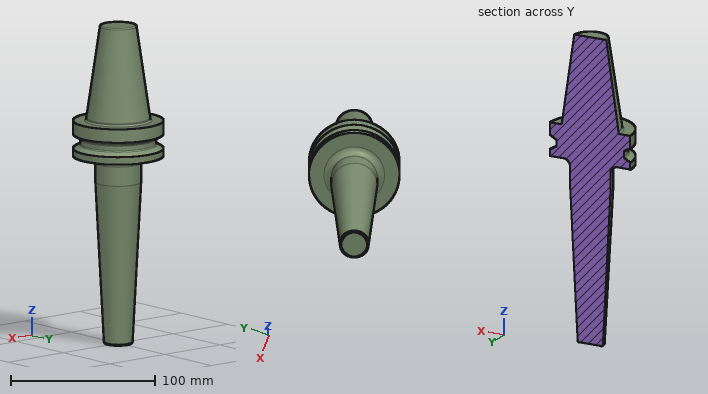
import cadquery as cq
import math


gauge_radius = 44.45 / 2
taper_height = 65.4
taper_slope = 7 / 24 / 2
taper_top_radius = gauge_radius - taper_height * taper_slope
taper_tip_fillet = 1.0
neck_fillet = 1.2

flange_radius = 63 / 2
flange_top = -2.0
flange_bottom = -27.0
groove_center = -16.6
groove_mouth_width = 10.2
groove_floor_radius = 53 / 2
groove_wall_angle = math.radians(30)
groove_floor_fillet = 1.0

collar_radius = 16.0
collar_fillet = 5.0
nose_radius = 10.0
nose_bottom = -160.0
nose_chamfer = 1.0
shank_angle = math.radians(3)
shank_cone_top = nose_bottom + (collar_radius - nose_radius) / math.tan(shank_angle)


def turned(profile_points):
    """Solid of revolution about Z from (radius, height) points."""
    return cq.Workplane("XZ").polyline(profile_points).close().revolve(360, (0, 0), (0, 1))


def edge_circle(radius, height):
    """Selector for the circular edge of the given radius and height."""
    margin = 0.01
    reach = radius + margin
    return cq.selectors.BoxSelector(
        (-reach, -reach, height - margin),
        (reach, reach, height + margin),
        boundingbox=True,
    )


def make_body():
    """Turned blank with all outside diameters and sharp corners."""
    return turned([
        (0, taper_height),
        (taper_top_radius, taper_height),
        (gauge_radius, 0),
        (gauge_radius, flange_top),
        (flange_radius, flange_top),
        (flange_radius, flange_bottom),
        (collar_radius, flange_bottom),
        (collar_radius, shank_cone_top),
        (nose_radius, nose_bottom),
        (0, nose_bottom),
    ])


def round_corners(body):
    """Fillets at the taper tip, neck and collar, and the chamfer on the nose."""
    body = body.edges(edge_circle(taper_top_radius, taper_height)).fillet(taper_tip_fillet)
    body = body.edges(edge_circle(gauge_radius, flange_top)).fillet(neck_fillet)
    body = body.edges(edge_circle(collar_radius, flange_bottom)).fillet(collar_fillet)
    return body.edges(edge_circle(nose_radius, nose_bottom)).chamfer(nose_chamfer)


def cut_groove(body):
    """V-groove around the flange, with rounded floor corners."""
    mouth_half = groove_mouth_width / 2
    wall_run = (flange_radius - groove_floor_radius) * math.tan(groove_wall_angle)
    floor_half = mouth_half - wall_run
    ring = turned([
        (flange_radius, groove_center + mouth_half),
        (groove_floor_radius, groove_center + floor_half),
        (groove_floor_radius, groove_center - floor_half),
        (flange_radius, groove_center - mouth_half),
    ])
    body = body.cut(ring)
    for side in (1, -1):
        corner = edge_circle(groove_floor_radius, groove_center + side * floor_half)
        body = body.edges(corner).fillet(groove_floor_fillet)
    return body


result = cut_groove(round_corners(make_body()))